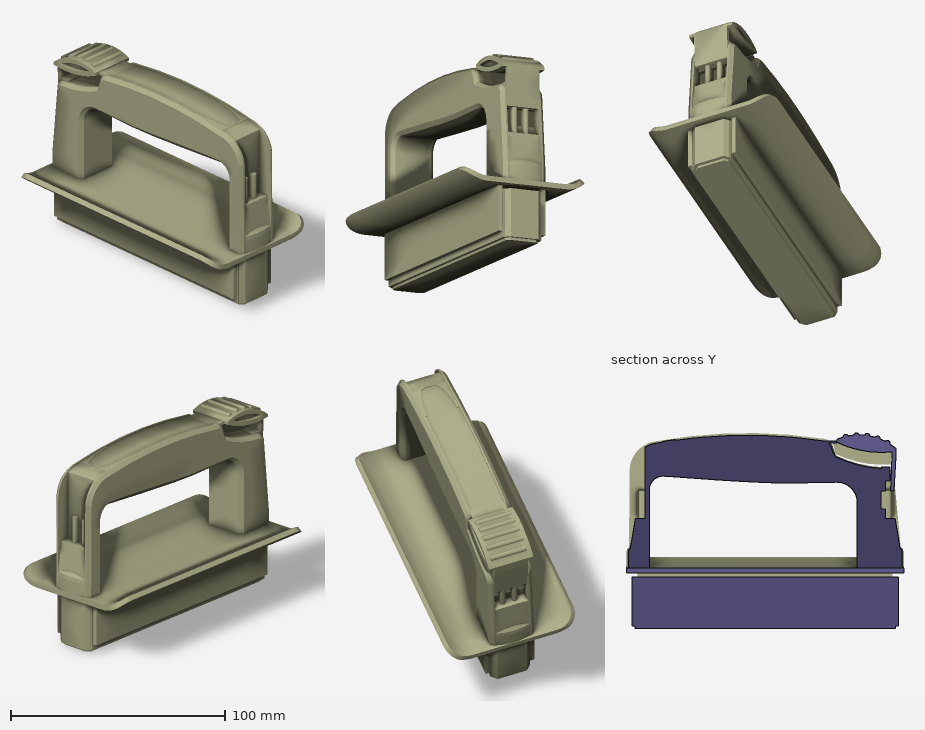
import cadquery as cq
import math


PLATE_LENGTH = 129.8
PLATE_WIDTH = 65.2
PLATE_THICKNESS = 2.5
WING_INNER_RADIUS = 13.6
WING_OUTER_RADIUS = WING_INNER_RADIUS + PLATE_THICKNESS
WING_ANGLE = math.radians(50)
PLATE_CORNER_RADIUS = 8.0
SKIRT_LENGTH = 119.3
SKIRT_INNER_Y = 10.1
SKIRT_OUTER_Y = 12.2
SKIRT_BOTTOM = -22.0

BLOCK_TOP = -1.7
BLOCK_BOTTOM = -24.8
BLOCK_WIDTH = 19.7
BLOCK_LENGTH = 120.2
BLOCK_END_LENGTH = 124.9
BLOCK_END_WIDTH = 18.4
BLOCK_END_CHAMFER = 2.0
FOOT_BOTTOM = -26.1
FOOT_LENGTH = 121.8
FOOT_WIDTH = 16.6
FOOT_CORNER_CHAMFER = 1.7

HANDLE_WIDTH = 22.1
HANDLE_CHAMFER = 1.7
CORE_WIDTH = 17.0
CORE_RECESS = 0.4
GRIP_RECESS = 0.8
END_RECESS = 0.6
CORE_END_X = 56.2
LEDGE_X = 60.7
LEDGE_Z = 25.6
CORE_FOOT_X = 63.2
LATCH_POCKET_X = 54.1
LATCH_POCKET_BOTTOM = 30.0
CONTACT_X = 57.6
CONTACT_Y = 3.0
CONTACT_WIDTH = 2.6
LATCH_SHELF_X = 58.4
LATCH_SHELF_BOTTOM = 42.8
LATCH_SHELF_TOP = 49.7
NOSE_BOTTOM = 60.7
NOSE_TOP = 61.9
NOSE_REAR_X = -26.6
INLAY_START_X = -32.0
INLAY_END_X = 48.2
PAD_BULGE_X = 64.8
PAD_RADIUS = 28.0
PAD_SHOULDER_Z = 9.1
PAD_CHAMFER_Z = 11.0
PAD_CHAMFER = 2.0
PAD_DRAFT = 0.3

BUTTON_WIDTH = HANDLE_WIDTH
BUTTON_LEFT = -61.1
BUTTON_RIGHT = -33.4
CROWN_CENTER_X = -43.7
CROWN_CENTER_Z = 37.8
CROWN_RADIUS = 26.9
THUMB_RIB_COUNT = 5
THUMB_RIB_RADIUS = 1.3
THUMB_RIB_LENGTH = 18.0
THUMB_RIB_SINK = 0.32
THUMB_RIB_FIRST_ANGLE = -30.2
THUMB_RIB_PITCH = 10.9
FLAP_WIDTH = CORE_WIDTH - 0.1
FLAP_BEND_Z = 53.5
FLAP_BOTTOM = 38.2
FLAP_TOP = 57.4
STEM_WIDTH = 5.2
SIDE_SCOOP_DEPTH = 2.0

OVERSHOOT = 13.0


def prism(outline, width):
    """Extrude a closed XZ outline symmetrically about Y = 0."""
    return outline.extrude(width / 2, both=True)


def box(x_range, y_range, z_range):
    """Axis-aligned box between two limits on each axis."""
    size = [high - low for low, high in (x_range, y_range, z_range)]
    corner = cq.Vector(x_range[0], y_range[0], z_range[0])
    return cq.Workplane("XY").box(*size, centered=False).translate(corner)


def arc_point(bend_y, radius, angle):
    """Point on the +Y wing bend; angle 0 is where the bend leaves the flat."""
    return (bend_y + radius * math.sin(angle), WING_OUTER_RADIUS - radius * math.cos(angle))


def make_plate():
    bend_y = PLATE_WIDTH / 2 - WING_OUTER_RADIUS * math.sin(WING_ANGLE)
    half_section = (
        cq.Workplane("YZ")
        .moveTo(0, 0)
        .lineTo(bend_y, 0)
        .threePointArc(
            arc_point(bend_y, WING_OUTER_RADIUS, WING_ANGLE / 2),
            arc_point(bend_y, WING_OUTER_RADIUS, WING_ANGLE),
        )
        .lineTo(*arc_point(bend_y, WING_INNER_RADIUS, WING_ANGLE))
        .threePointArc(
            arc_point(bend_y, WING_INNER_RADIUS, WING_ANGLE / 2),
            (bend_y, PLATE_THICKNESS),
        )
        .lineTo(0, PLATE_THICKNESS)
        .close()
        .extrude(PLATE_LENGTH / 2, both=True)
    )
    tip_normal = cq.Vector(0, math.cos(WING_ANGLE), math.sin(WING_ANGLE))
    half_plate = half_section.faces(cq.selectors.DirectionMinMaxSelector(tip_normal, True))
    across_sheet = cq.Vector(0, -math.sin(WING_ANGLE), math.cos(WING_ANGLE))
    half_plate = half_plate.edges(cq.selectors.ParallelDirSelector(across_sheet)).fillet(PLATE_CORNER_RADIUS)
    skirt = box(
        (-SKIRT_LENGTH / 2, SKIRT_LENGTH / 2),
        (SKIRT_INNER_Y, SKIRT_OUTER_Y),
        (SKIRT_BOTTOM, PLATE_THICKNESS / 2),
    )
    half_plate = half_plate.union(skirt)
    return half_plate.union(half_plate.mirror("XZ"))


def make_block():
    height = BLOCK_TOP - BLOCK_BOTTOM
    base = cq.Workplane("XY").workplane(offset=BLOCK_BOTTOM)
    middle = base.rect(BLOCK_LENGTH, BLOCK_WIDTH).extrude(height)
    ends = base.rect(BLOCK_END_LENGTH, BLOCK_END_WIDTH).extrude(height)
    ends = ends.edges("|Z").chamfer(BLOCK_END_CHAMFER)
    foot = base.rect(FOOT_LENGTH, FOOT_WIDTH).extrude(FOOT_BOTTOM - BLOCK_BOTTOM)
    foot = foot.edges("|Z").chamfer(FOOT_CORNER_CHAMFER)
    return middle.union(ends).union(foot)


def handle_outline():
    """Closed outer outline of the handle, running down past the plate."""
    return (
        cq.Workplane("XZ")
        .moveTo(-63.6, -OVERSHOOT)
        .lineTo(-63.6, 9.7)
        .lineTo(-60.4, 44.0)
        .threePointArc((-58.8, 47.9), (-54.9, 49.3))
        .threePointArc((-43.4, 51.0), (-33.1, 54.8))
        .lineTo(-31.5, 59.6)
        .threePointArc((-29.7, 61.8), (-26.6, 62.7))
        .threePointArc((8.5, 65.3), (50.2, 61.5))
        .threePointArc((59.2, 57.4), (63.2, 48.8))
        .lineTo(63.7, -OVERSHOOT)
        .close()
    )


def grip_opening():
    """Closed outline of the hand opening, running down past the plate."""
    return (
        cq.Workplane("XZ")
        .moveTo(-42.8, -OVERSHOOT * 2)
        .lineTo(-42.8, 33.0)
        .threePointArc((-40.1, 39.6), (-33.5, 42.3))
        .spline(
            [(-9.6, 41.9), (13.5, 42.8), (43.1, 44.9), (48.0, 45.2)],
            tangents=[(1, 0), (1, 0)],
            includeCurrent=True,
        )
        .threePointArc((52.3, 43.2), (54.0, 38.2))
        .lineTo(54.0, -OVERSHOOT * 2)
        .close()
    )


def chamfered_outline():
    """Solid handle shape whose outer edges slope in toward both sides."""
    straight_width = HANDLE_WIDTH - 2 * HANDLE_CHAMFER
    middle = prism(handle_outline(), straight_width)
    sloped_rim = handle_outline().extrude(HANDLE_CHAMFER, taper=45)
    sloped_rim = sloped_rim.translate((0, -straight_width / 2, 0))
    return middle.union(sloped_rim).union(sloped_rim.mirror("XZ"))


def opening_surround():
    """Slab larger than the handle, pierced by the hand opening with chamfered edges."""
    slab = box(
        (-PLATE_LENGTH, PLATE_LENGTH),
        (-HANDLE_WIDTH / 2, HANDLE_WIDTH / 2),
        (-OVERSHOOT, PLATE_LENGTH),
    )
    slab = slab.cut(prism(grip_opening(), HANDLE_WIDTH))
    return slab.faces("<Y or >Y").edges().chamfer(HANDLE_CHAMFER)


def make_side_plates():
    """Chamfered handle shape with the middle taken out for the core."""
    shell = chamfered_outline().intersect(opening_surround())
    return shell.cut(prism(handle_outline(), CORE_WIDTH))


def core_end_clearance():
    """Space taken from the +X end of the core: open slot above, sloped wall below."""
    outline = cq.Workplane("XZ").polyline([
        (CORE_END_X, PLATE_LENGTH),
        (CORE_END_X, LEDGE_Z),
        (LEDGE_X, LEDGE_Z),
        (CORE_FOOT_X, PAD_CHAMFER_Z),
        (CORE_FOOT_X, PLATE_THICKNESS),
        (PLATE_LENGTH, PLATE_THICKNESS),
        (PLATE_LENGTH, PLATE_LENGTH),
    ]).close()
    return prism(outline, CORE_WIDTH)


def contact_rib(y):
    """Upright round-nosed rib standing on the +X ledge of the core."""
    base = cq.Workplane("XY").workplane(offset=LEDGE_Z)
    height = FLAP_BOTTOM - LEDGE_Z
    nose = base.center(CONTACT_X, y).circle(CONTACT_WIDTH / 2).extrude(height)
    web = box(
        (LATCH_POCKET_X, CONTACT_X),
        (y - CONTACT_WIDTH / 2, y + CONTACT_WIDTH / 2),
        (LEDGE_Z, FLAP_BOTTOM),
    )
    return nose.union(web)


def end_pad():
    """Bulged pad, drafted and then chamfered at its top, at the foot of the +X end of the core."""
    pad_top = PAD_CHAMFER_Z + PAD_CHAMFER
    upper_radius = PAD_RADIUS - PAD_DRAFT
    drum = (
        cq.Workplane("XZ")
        .polyline([
            (0, PLATE_THICKNESS),
            (PAD_RADIUS, PLATE_THICKNESS),
            (PAD_RADIUS, PAD_SHOULDER_Z),
            (upper_radius, PAD_CHAMFER_Z),
            (upper_radius - PAD_CHAMFER, pad_top),
            (0, pad_top),
        ])
        .close()
        .revolve(360, (0, 0), (0, 1))
        .translate((PAD_BULGE_X - PAD_RADIUS, 0, 0))
    )
    limits = box((CORE_END_X, PAD_BULGE_X), (-CORE_WIDTH / 2, CORE_WIDTH / 2), (PLATE_THICKNESS, pad_top))
    return drum.intersect(limits)


def top_recess(plan, depth):
    """Part of an upright plan prism that lies within a depth of the handle outline."""
    return plan.cut(prism(handle_outline().offset2D(-depth), HANDLE_WIDTH))


def grip_inlay():
    """Shallow tongue-shaped recess along the top of the core."""
    half_wide = 8.3
    half_narrow = 7.4
    shoulder_x = 30.1
    tongue = (
        cq.Workplane("XY")
        .moveTo(INLAY_START_X, -half_wide)
        .lineTo(shoulder_x, -half_wide)
        .lineTo(shoulder_x, -half_narrow)
        .threePointArc((39.0, -6.6), (46.7, -4.4))
        .threePointArc((INLAY_END_X, 0), (46.7, 4.4))
        .threePointArc((39.0, 6.6), (shoulder_x, half_narrow))
        .lineTo(shoulder_x, half_wide)
        .lineTo(INLAY_START_X, half_wide)
        .close()
        .extrude(PLATE_LENGTH)
    )
    return top_recess(tongue, GRIP_RECESS)


def end_step():
    """Slight step down across the core, beyond the tip of the tongue."""
    plan = box(
        (INLAY_END_X, PLATE_LENGTH / 2),
        (-CORE_WIDTH / 2, CORE_WIDTH / 2),
        (LEDGE_Z, PLATE_LENGTH),
    )
    return top_recess(plan, END_RECESS)


def core_nose():
    """Lip of the core top that meets the button."""
    return box(
        (BUTTON_RIGHT, NOSE_REAR_X),
        (-CORE_WIDTH / 2, CORE_WIDTH / 2),
        (NOSE_BOTTOM, NOSE_TOP),
    )


def make_core():
    core = prism(handle_outline().offset2D(-CORE_RECESS), CORE_WIDTH)
    core = core.cut(grip_inlay()).cut(end_step()).cut(prism(grip_opening(), CORE_WIDTH))
    end_features = end_pad()
    for y in (-CONTACT_Y, CONTACT_Y):
        end_features = end_features.union(contact_rib(y))
    latch_pocket = box(
        (-CORE_END_X, -LATCH_POCKET_X),
        (-CORE_WIDTH / 2, CORE_WIDTH / 2),
        (LATCH_POCKET_BOTTOM, FLAP_BOTTOM),
    )
    latch_shelf = box(
        (-LATCH_SHELF_X, -LATCH_POCKET_X),
        (-CORE_WIDTH / 2, CORE_WIDTH / 2),
        (LATCH_SHELF_BOTTOM, LATCH_SHELF_TOP),
    )
    core = core.cut(core_end_clearance()).cut(core_end_clearance().mirror("YZ"))
    core = core.cut(latch_pocket).union(latch_shelf).union(core_nose())
    return core.union(end_features).union(end_features.mirror("YZ"))


def make_handle():
    handle = make_side_plates().union(make_core())
    below_plate_top = box(
        (-PLATE_LENGTH, PLATE_LENGTH),
        (-PLATE_WIDTH, PLATE_WIDTH),
        (-PLATE_LENGTH, PLATE_THICKNESS),
    )
    return handle.cut(below_plate_top)


def crown_point(angle, radius=CROWN_RADIUS):
    """XZ point on the crown arc, at an angle in degrees from straight up toward +X."""
    turn = math.radians(angle)
    return (CROWN_CENTER_X + radius * math.sin(turn), CROWN_CENTER_Z + radius * math.cos(turn))


def crown_height(x):
    return CROWN_CENTER_Z + math.sqrt(CROWN_RADIUS**2 - (x - CROWN_CENTER_X) ** 2)


def make_cap():
    """Lens-shaped thumb piece with a scoop in each side."""
    cap = prism(
        cq.Workplane("XZ")
        .moveTo(BUTTON_LEFT, crown_height(BUTTON_LEFT))
        .threePointArc(crown_point(0), (BUTTON_RIGHT, crown_height(BUTTON_RIGHT)))
        .lineTo(BUTTON_RIGHT, 61.0)
        .threePointArc((-47.4, 56.7), (BUTTON_LEFT, 56.7))
        .close(),
        BUTTON_WIDTH,
    )
    scoop = prism(
        cq.Workplane("XZ")
        .moveTo(-57.2, 58.5)
        .threePointArc((-46.7, 62.3), (-36.9, 61.8))
        .threePointArc((-46.0, 59.0), (-57.2, 58.5))
        .close(),
        BUTTON_WIDTH,
    )
    web_half_width = BUTTON_WIDTH / 2 - SIDE_SCOOP_DEPTH
    web = box((BUTTON_LEFT, BUTTON_RIGHT), (-web_half_width, web_half_width), (0, PLATE_LENGTH))
    return cap.cut(scoop.cut(web))


def thumb_rib(index):
    """Half-sunk round bar across the crown."""
    angle = THUMB_RIB_FIRST_ANGLE + index * THUMB_RIB_PITCH
    x, z = crown_point(angle, CROWN_RADIUS - THUMB_RIB_SINK)
    return prism(cq.Workplane("XZ").center(x, z).circle(THUMB_RIB_RADIUS), THUMB_RIB_LENGTH)


def make_button():
    button = make_cap()
    for index in range(THUMB_RIB_COUNT):
        button = button.union(thumb_rib(index))
    flap = cq.Workplane("XZ").polyline([
        (BUTTON_LEFT, FLAP_TOP),
        (BUTTON_LEFT, FLAP_BEND_Z),
        (-60.2, FLAP_BOTTOM),
        (-58.4, FLAP_BOTTOM),
        (-59.2, FLAP_TOP),
    ]).close()
    stem = (
        cq.Workplane("XZ")
        .moveTo(-59.2, FLAP_TOP)
        .lineTo(-58.8, 50.6)
        .threePointArc((-44.1, 51.7), (-33.0, 55.4))
        .lineTo(-31.7, NOSE_BOTTOM)
        .lineTo(BUTTON_RIGHT, NOSE_BOTTOM)
        .lineTo(BUTTON_RIGHT, 61.0)
        .lineTo(-46.7, 58.4)
        .close()
    )
    return button.union(prism(flap, FLAP_WIDTH)).union(prism(stem, STEM_WIDTH))


plate = make_plate()
block = make_block()
handle = make_handle()
button = make_button()

result = cq.Compound.makeCompound([
    body.solids().val() for body in (plate, block, handle, button)
])